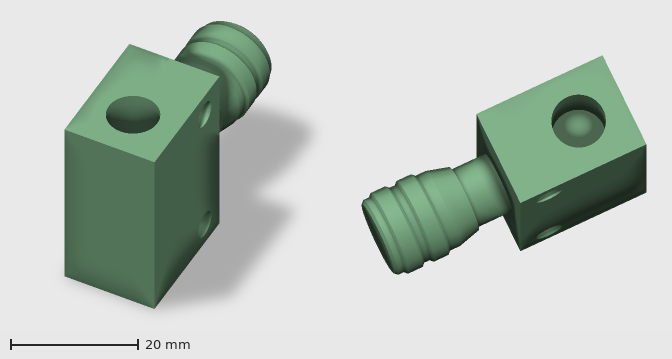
import cadquery as cq
import math

block_width = 16.0
block_depth = 22.0
block_height = 32.0

mount_hole_diameter = 4.5
mount_hole_from_back = 5.0
mount_hole_from_end = 4.0

port_diameter = 8.57
port_from_front = 8.0
port_depth = 10.0

stem_radius = 5.0
stem_length = 6.0
sleeve_length = 15.0
sleeve_radius = 6.5
taper_small_radius = 5.5
taper_angle = 15.0
end_chamfer = 0.5

ring_height = 0.5
ring_chamfer_length = 0.5
ring_length = 3.5
ring_gap = 1.0
ring_from_end = 1.5

sleeve_start = block_depth + stem_length
sleeve_end = sleeve_start + sleeve_length
taper_length = (sleeve_radius - taper_small_radius) / math.tan(math.radians(taper_angle))
outer_ring_start = sleeve_end - ring_from_end - ring_length
inner_ring_start = outer_ring_start - ring_gap - ring_length


def make_block():
    return cq.Workplane("XY").box(
        block_width, block_depth, block_height, centered=(True, False, True)
    )


def ring_points(start):
    """Profile of one chamfered grip ring as (radius, Y) points."""
    end = start + ring_length
    crest_radius = sleeve_radius + ring_height
    return [
        (sleeve_radius, start),
        (crest_radius, start + ring_chamfer_length),
        (crest_radius, end - ring_chamfer_length),
        (sleeve_radius, end),
    ]


def make_connector():
    """Stem, tapered sleeve and grip rings as one revolved half profile."""
    profile = [
        (0, block_depth),
        (stem_radius, block_depth),
        (stem_radius, sleeve_start),
        (taper_small_radius, sleeve_start),
        (sleeve_radius, sleeve_start + taper_length),
    ]
    for start in (inner_ring_start, outer_ring_start):
        profile += ring_points(start)
    profile += [
        (sleeve_radius, sleeve_end - end_chamfer),
        (sleeve_radius - end_chamfer, sleeve_end),
        (0, sleeve_end),
    ]
    return cq.Workplane("XY").polyline(profile).close().revolve(360, (0, 0), (0, 1))


def make_mount_holes():
    hole_y = block_depth - mount_hole_from_back
    hole_z = block_height / 2 - mount_hole_from_end
    return (
        cq.Workplane("YZ")
        .pushPoints([(hole_y, hole_z), (hole_y, -hole_z)])
        .circle(mount_hole_diameter / 2)
        .extrude(block_width / 2, both=True)
    )


def make_port():
    return (
        cq.Workplane("XY", origin=(0, port_from_front, block_height / 2))
        .circle(port_diameter / 2)
        .extrude(-port_depth)
    )


result = make_block().union(make_connector()).cut(make_mount_holes()).cut(make_port())